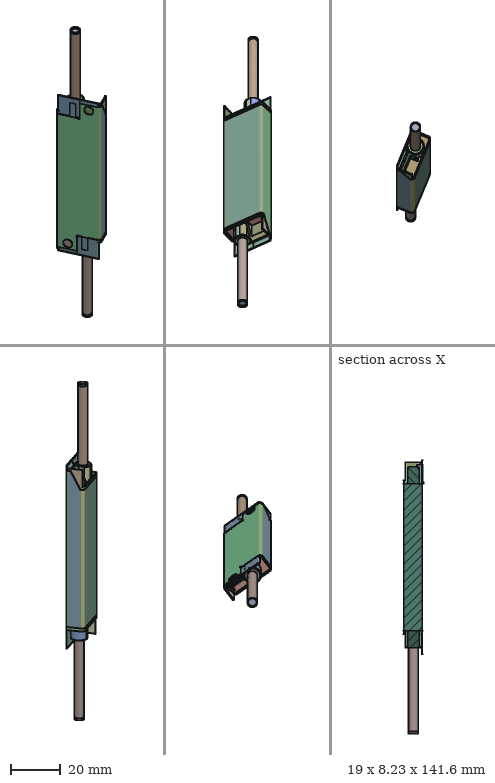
import cadquery as cq

case_width = 19.0
case_depth = 7.8
overall_length = 141.6
overall_depth = 8.23
corner_radius = 1.3
wall = 0.45
flat_margin = 0.75

floor_height = 29.6
tongue_height = 37.2
tongue_edge_x = 0.6
slope_back_y = 2.4
slope_front_y = -1.8

pocket_left_x = 1.5
pocket_right_x = 7.9
pocket_front_y = -0.8

recess_x = 4.5
recess_height = 34.5
recess_diameter = 3.85
recess_depth = 0.2

rim_height = 1.3
front_plate_height = 39.0
side_wall_height = tongue_height + 1.0
cove_radius = 0.9
latch_size = 0.5
latch_rise = overall_depth - case_depth

cable_x = -2.55
cable_y = -0.2
cable_diameter = 4.0
cable_core_diameter = 3.5
cable_core_recess = 0.85
relief_diameter = 7.0
relief_height = 36.4
relief_chamfer = 0.4

front_y = -case_depth / 2
back_y = case_depth / 2
right_x = case_width / 2
inner_width = case_width - 2 * wall
inner_depth = case_depth - 2 * wall
inner_right_x = inner_width / 2
inner_back_y = inner_depth / 2
plate_right_x = right_x - flat_margin
side_wall_back_y = back_y - flat_margin
rim_top = floor_height + rim_height
cable_end = overall_length / 2


def box_between(x_range, y_range, z_range):
    """Box that fills the given ranges along X, Y and Z."""
    size = [high - low for low, high in (x_range, y_range, z_range)]
    corner = (x_range[0], y_range[0], z_range[0])
    return cq.Workplane("XY").box(*size, centered=False).translate(corner)


def case_block(bottom, top):
    """Solid block with the outer section of the case, its long edges rounded."""
    block = box_between((-right_x, right_x), (front_y, back_y), (bottom, top))
    return block.edges("|Z").fillet(corner_radius)


def turned_end_for_end(shape):
    """The same shape at the opposite end of the case, half a turn about Y."""
    return shape.rotate((0, 0, 0), (0, 1, 0), 180)


def make_tongue():
    """Upper tongue of the housing, with its sloped back and pocket."""
    profile = [
        (front_y, floor_height),
        (front_y, tongue_height),
        (slope_front_y, tongue_height),
        (slope_back_y, floor_height),
    ]
    tongue = (
        cq.Workplane("YZ", origin=(tongue_edge_x, 0, 0))
        .polyline(profile)
        .close()
        .extrude(right_x - tongue_edge_x)
        .intersect(case_block(floor_height, tongue_height))
    )
    pocket = box_between(
        (pocket_left_x, pocket_right_x), (pocket_front_y, back_y), (floor_height, tongue_height)
    )
    return tongue.cut(pocket)


def make_recess():
    """Round shallow recess in the front of the upper tongue."""
    return (
        cq.Workplane("XZ", origin=(recess_x, front_y, recess_height))
        .circle(recess_diameter / 2)
        .extrude(-recess_depth)
    )


def make_housing(tongue):
    """Case body with a recessed tongue at each end."""
    body = case_block(-floor_height, floor_height)
    recessed_tongue = tongue.cut(make_recess())
    return body.union(recessed_tongue).union(turned_end_for_end(recessed_tongue))


def make_cap_shell():
    """Rim, front plate and tall side wall of the upper end cap, with its latch."""
    cavity = box_between(
        (-inner_right_x, inner_right_x), (-inner_back_y, inner_back_y), (floor_height, front_plate_height)
    )
    cavity = cavity.edges("|Z").fillet(corner_radius - wall)
    side_zone = box_between(
        (tongue_edge_x, right_x), (front_y, side_wall_back_y), (floor_height, side_wall_height)
    )
    plate_zone = box_between(
        (-plate_right_x, plate_right_x), (front_y, -inner_back_y), (floor_height, front_plate_height)
    )
    latch = box_between(
        (tongue_edge_x - latch_size, tongue_edge_x),
        (front_y - latch_rise, front_y),
        (floor_height, floor_height + latch_size),
    )
    rim = case_block(floor_height, rim_top)
    side_wall = case_block(floor_height, side_wall_height).intersect(side_zone)
    front_plate = case_block(floor_height, front_plate_height).intersect(plate_zone)
    return rim.union(side_wall).union(front_plate).cut(cavity).union(latch)


def make_cove():
    """Rounded inside corner that joins the flat end of the tongue to the front plate."""
    cove_back_y = cove_radius - inner_back_y
    block = box_between(
        (tongue_edge_x, inner_right_x),
        (-inner_back_y, cove_back_y),
        (tongue_height, tongue_height + cove_radius),
    )
    hollow = (
        cq.Workplane("YZ", origin=(tongue_edge_x, cove_back_y, tongue_height + cove_radius))
        .circle(cove_radius)
        .extrude(inner_right_x - tongue_edge_x)
    )
    return block.cut(hollow)


def make_strain_relief():
    """Round boss around the cable, trimmed to fit between the front and back of the cap."""
    space = box_between(
        (-inner_right_x, tongue_edge_x), (-inner_back_y, side_wall_back_y), (floor_height, relief_height)
    )
    return (
        cq.Workplane("XY", origin=(cable_x, cable_y, floor_height))
        .circle(relief_diameter / 2)
        .extrude(relief_height - floor_height)
        .faces(">Z")
        .chamfer(relief_chamfer)
        .intersect(space)
    )


def make_cable():
    """Straight round cable with its core set back from the free end."""
    return (
        cq.Workplane("XY", origin=(cable_x, cable_y, floor_height))
        .circle(cable_diameter / 2)
        .extrude(cable_end - floor_height)
        .faces(">Z")
        .workplane()
        .hole(cable_core_diameter, cable_core_recess)
    )


def make_end_cap(tongue):
    """Upper end cap with its moulded-in cable, fitted around the tongue."""
    cap = make_cap_shell().union(make_cove()).union(make_strain_relief()).union(make_cable())
    return cap.cut(tongue)


upper_tongue = make_tongue()
housing = make_housing(upper_tongue)
upper_cap = make_end_cap(upper_tongue)
lower_cap = turned_end_for_end(upper_cap)
result = cq.Compound.makeCompound([housing.val(), upper_cap.val(), lower_cap.val()])